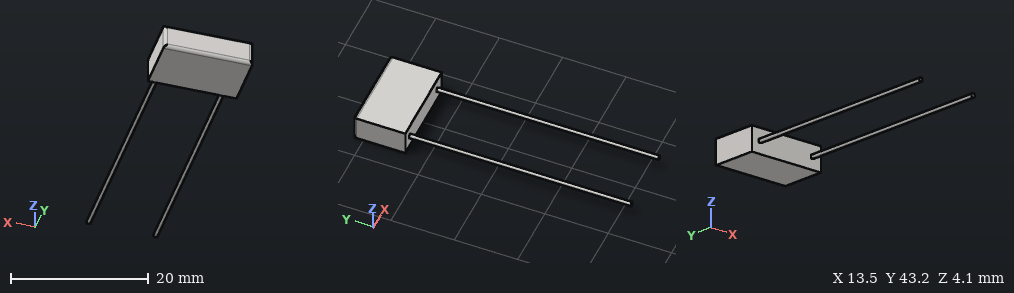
import cadquery as cq

total_length = 43.2
case_width = 13.5
case_depth = 8.2
case_height = 4.1
back_edge_radius = 0.5

lead_pitch = 10.15
lead_diameter = 0.7
lead_length = total_length - case_depth


def make_case():
    """Rectangular case with its front face on Y = 0 and the edges of its back face rounded."""
    block = cq.Workplane("XY").box(case_width, case_depth, case_height, centered=(True, False, True))
    return block.faces(">Y").edges().fillet(back_edge_radius)


def make_lead(center_x):
    """Straight round wire that starts on the front face of the case and runs toward -Y."""
    return cq.Workplane("XZ").center(center_x, 0).circle(lead_diameter / 2).extrude(lead_length)


case = make_case()
leads = [make_lead(side * lead_pitch / 2) for side in (-1, 1)]

result = cq.Compound.makeCompound([case.val(), *[lead.val() for lead in leads]])